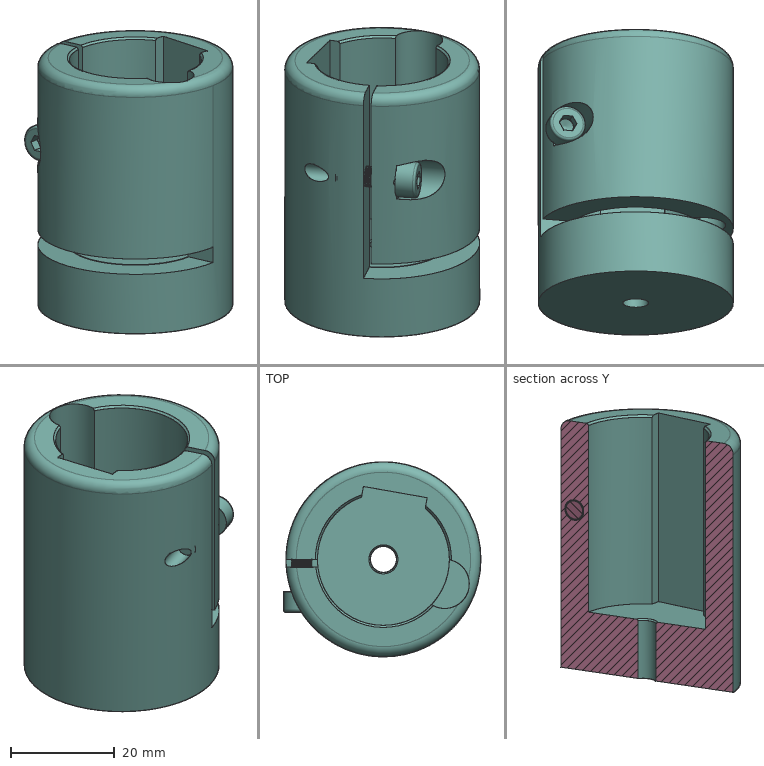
import cadquery as cq
import math

height = 50
outer_radius = 18.85
top_round = 2

bore_radius = 12.75
bore_floor_z = 12
bore_chamfer = 0.4
bottom_hole_radius = 2.5
bottom_hole_chamfer = 0.3

key_width = 12.5
key_reach = 13.2
key_angle = 80
lobe_radius = 4.75
lobe_angle = -21.8

slot_floor_z = 12.1
slot_top_z = 15.2
slit_width = 1.5

screw_x = -15.8
screw_z = 32.1
seat_y = -6.25
head_radius = 3.5
head_height = 4
head_round = 0.5
socket_across_flats = 3
socket_depth = 2
socket_tip_slope = 0.6
thread_radius = 2
thread_pitch = 0.35
thread_depth = 0.2
screw_length = 12
thread_start_y = -1.6

counterbore_radius = 3.95
clearance_radius = 2.15
tap_drill_radius = 1.65

screw_tip_y = seat_y + screw_length
lobe_x = bore_radius * math.cos(math.radians(lobe_angle))
lobe_y = bore_radius * math.sin(math.radians(lobe_angle))


def cylinder_along_y(radius, y_start, y_end):
    """Cylinder on the screw axis between two Y positions."""
    axis_start = cq.Vector(screw_x, y_start, screw_z)
    return cq.Workplane(cq.Solid.makeCylinder(radius, y_end - y_start, axis_start, cq.Vector(0, 1, 0)))


def bore():
    """Bore with a chamfered mouth, and the chamfered hole through its floor."""
    profile = [
        (0, 0),
        (bottom_hole_radius, 0),
        (bottom_hole_radius, bore_floor_z - bottom_hole_chamfer),
        (bottom_hole_radius + bottom_hole_chamfer, bore_floor_z),
        (bore_radius, bore_floor_z),
        (bore_radius, height - bore_chamfer),
        (bore_radius + bore_chamfer, height),
        (0, height),
    ]
    return cq.Workplane("XZ").polyline(profile).close().revolve(360, (0, 0, 0), (0, 1, 0))


def keyway():
    """Straight keyway, from the bore axis out to its flat bottom."""
    return (
        cq.Workplane("XY", origin=(0, 0, bore_floor_z))
        .transformed(rotate=(0, 0, key_angle))
        .center(key_reach / 2, 0)
        .rect(key_reach, key_width)
        .extrude(height - bore_floor_z)
    )


def lobe():
    """Round lobe centred on the bore wall, down to the slot floor."""
    return (
        cq.Workplane("XY", origin=(lobe_x, lobe_y, slot_floor_z))
        .circle(lobe_radius)
        .extrude(height - slot_floor_z)
    )


def jaw_cuts():
    """Slot across the -Y half and the upright slit through the -X wall."""
    slot = cq.Workplane("XY").box(
        2 * outer_radius, outer_radius, slot_top_z - slot_floor_z, centered=(True, False, False)
    ).translate((0, -outer_radius, slot_floor_z))
    slit = cq.Workplane("XY").box(
        outer_radius, slit_width, height - slot_floor_z, centered=False
    ).translate((-outer_radius, -slit_width, slot_floor_z))
    return slot.union(slit)


def screw_passage():
    """Counterbore, clearance hole, threaded length and tap drill hole along the screw axis."""
    counterbore = cylinder_along_y(counterbore_radius, -outer_radius, seat_y)
    clearance = cylinder_along_y(clearance_radius, seat_y, -slit_width)
    threaded = cylinder_along_y(thread_radius, -slit_width, screw_tip_y)
    tap_drill = cylinder_along_y(tap_drill_radius, screw_tip_y, outer_radius)
    return counterbore.union(clearance).union(threaded).union(tap_drill)


def make_clamp():
    blank = cq.Workplane("XY").circle(outer_radius).extrude(height).faces(">Z").edges().fillet(top_round)
    return blank.cut(bore()).cut(keyway()).cut(lobe()).cut(jaw_cuts()).cut(screw_passage())


def screw_socket():
    """Hexagon socket with a conical bottom."""
    corner_radius = socket_across_flats / math.sqrt(3)
    face_y = seat_y - head_height
    hexagon = (
        cq.Workplane("XZ", origin=(screw_x, face_y, screw_z))
        .polygon(6, 2 * corner_radius)
        .extrude(-socket_depth)
    )
    tip = cq.Solid.makeCone(
        socket_across_flats / 2,
        0,
        socket_tip_slope * socket_across_flats / 2,
        cq.Vector(screw_x, face_y + socket_depth, screw_z),
        cq.Vector(0, 1, 0),
    )
    return hexagon.union(cq.Workplane(tip))


def make_screw():
    """Socket head cap screw whose thread is a row of V-shaped ridges."""
    head = cylinder_along_y(head_radius, seat_y - head_height, seat_y)
    head = head.faces("<Y").edges().fillet(head_round)
    root_radius = thread_radius - thread_depth
    ridge_count = round((screw_tip_y - thread_start_y) / thread_pitch)
    profile = [(0, seat_y), (thread_radius, seat_y), (thread_radius, thread_start_y)]
    for ridge in range(ridge_count):
        ridge_y = thread_start_y + ridge * thread_pitch
        profile.append((root_radius, ridge_y + thread_pitch / 2))
        profile.append((thread_radius, ridge_y + thread_pitch))
    profile.append((0, screw_tip_y))
    shank = (
        cq.Workplane("XY", origin=(screw_x, 0, screw_z))
        .polyline(profile)
        .close()
        .revolve(360, (0, 0, 0), (0, 1, 0))
    )
    return head.union(shank).cut(screw_socket())


clamp = make_clamp()
screw = make_screw()

result = cq.Compound.makeCompound([clamp.val(), screw.val()])